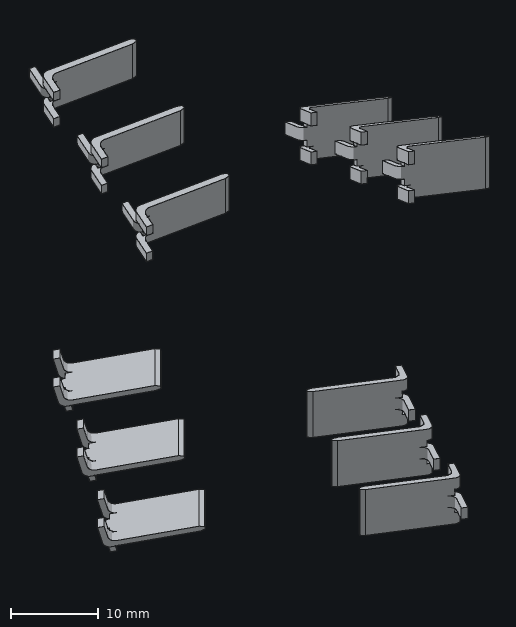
import cadquery as cq

total_width = 29.15
total_depth = 12.3
height = 6.1

thickness = 0.82
bend_radius = thickness
terminal_width = 6.27
left_reach = 2.95
tip_length = 0.6
tip_width = 0.4

foot_height = height / 4
middle_foot_bottom = (height - foot_height) / 2

terminal_count = 3
pitch = (total_width - terminal_width) / (terminal_count - 1)
first_offset = 0.35
terminal_depth = total_depth - first_offset

blade_left = left_reach
blade_right = blade_left + thickness
blade_middle = blade_left + thickness / 2


def make_blade():
    """Flat plate above the feet, tapered on both faces at its back edge."""
    taper_start = terminal_depth - tip_length
    return (
        cq.Workplane("XY")
        .moveTo(blade_left, thickness)
        .lineTo(blade_right, thickness)
        .lineTo(blade_right, taper_start)
        .lineTo(blade_middle + tip_width / 2, terminal_depth)
        .lineTo(blade_middle - tip_width / 2, terminal_depth)
        .lineTo(blade_left, taper_start)
        .close()
        .extrude(height)
    )


def make_foot(tip_x, outside_x, inside_x, bottom):
    """Foot with its bend, from the outside face of the blade round to the foot tip."""
    direction = 1 if tip_x > outside_x else -1
    bend_top = thickness + bend_radius
    return (
        cq.Workplane("XY", origin=(0, 0, bottom))
        .moveTo(tip_x, 0)
        .lineTo(outside_x + direction * bend_radius, 0)
        .radiusArc((outside_x, bend_radius), direction * bend_radius)
        .lineTo(outside_x, bend_top)
        .lineTo(inside_x, bend_top)
        .radiusArc((inside_x + direction * bend_radius, thickness), -direction * bend_radius)
        .lineTo(tip_x, thickness)
        .close()
        .extrude(foot_height)
    )


def make_terminal():
    """One complete terminal, with its left foot tip at X = 0 and its feet front at Y = 0."""
    terminal = make_blade()
    for bottom in (0, height - foot_height):
        terminal = terminal.union(make_foot(terminal_width, blade_left, blade_right, bottom))
    return terminal.union(make_foot(0, blade_right, blade_left, middle_foot_bottom))


terminals = []
for index in range(terminal_count):
    front = 0 if index == 0 else first_offset
    terminals.extend(make_terminal().translate((index * pitch, front, 0)).solids().vals())

result = cq.Compound.makeCompound(terminals)